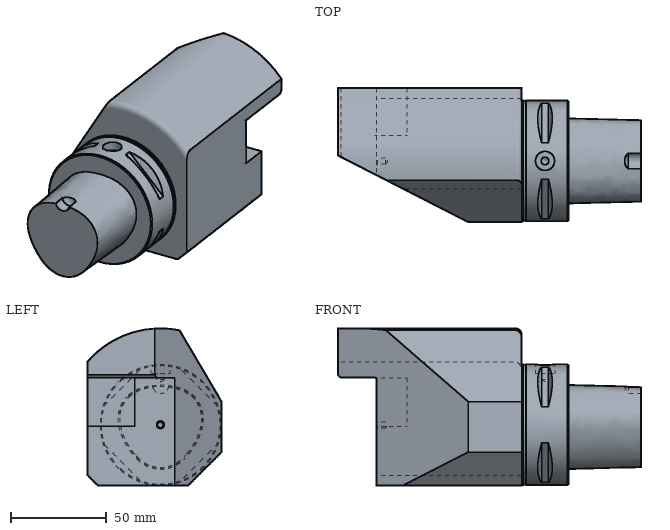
import cadquery as cq
import math


total_length = 158.0
body_end = 95.7
flange_end = 120.2
nose_reach = 20.0
slot_station = 107.9

crown_radius = 50.2
side_back = 38.0
side_front = -31.9
bottom = -31.8
crown_edge_y = -10.0
slant_foot_z = 12.0
front_chamfer_top_z = -14.2
back_chamfer = 5.5
crown_fillet = 3.3
margin = 7.9

nose_underside = 24.5
nose_chamfer = 1.5
nose_inner_radius = 1.0
oblique_start_y = 2.8
oblique_end_x = 68.0

notch_side = 13.5
notch_floor = -0.8
notch_depth = 15.8

flange_radius = 63.0 / 2
groove_radius = 62.5 / 2
groove_start = 96.5
groove_end = 97.8
flange_chamfer = 0.6
groove_chamfer = flange_radius - groove_radius

slot_floor_distance = 28.0
slot_floor_width = 3.5
slot_wall_angle = 30.0
slot_count = 4
slot_first_angle = 45.0

drill_point_angle = 118.0
plug_bore_diameter = 10.0
plug_bore_depth = 4.7
plug_hole_diameter = 4.0
plug_hole_depth = 3.2
face_hole_diameter = 3.2
face_hole_mouth = 4.0
face_hole_depth = 4.7

shank_base_radius = 22.0
shank_end_radius = 21.0
shank_lobe_height = 1.18
lobe_count = 3
lobe_points = 36
keyway_diameter = 8.4
keyway_axis_z = 20.5
keyway_length = 6.6
keyway_dome_height = 2.0


def revolve_about_x(profile):
    """Revolve an (axial, radial) outline about the spindle axis."""
    return cq.Workplane("XY").polyline(profile).close().revolve(360, (0, 0, 0), (1, 0, 0))


def drill(start, direction, diameter, depth):
    """Blind drilled hole with a conical point beyond its full-diameter depth."""
    radius = diameter / 2
    point_length = radius / math.tan(math.radians(drill_point_angle / 2))
    profile = [(0, 0), (radius, 0), (radius, depth), (0, depth + point_length)]
    tool = cq.Workplane("XY").polyline(profile).close().revolve(360, (0, 0, 0), (0, 1, 0))
    frame = cq.Plane(origin=start, xDir=(0, 1, 0), normal=direction)
    return cq.Workplane(obj=tool.rotate((0, 0, 0), (1, 0, 0), 90).val().moved(cq.Location(frame)))


def head():
    def crown_z(y):
        return math.sqrt(crown_radius**2 - y**2)

    front_chamfer_y = side_front + front_chamfer_top_z - bottom
    block = (
        cq.Workplane("YZ")
        .moveTo(side_back, crown_z(side_back))
        .threePointArc((0, crown_radius), (crown_edge_y, crown_z(crown_edge_y)))
        .lineTo(side_front, slant_foot_z)
        .lineTo(side_front, front_chamfer_top_z)
        .lineTo(front_chamfer_y, bottom)
        .lineTo(side_back - back_chamfer, bottom)
        .lineTo(side_back, bottom + back_chamfer)
        .close()
        .extrude(body_end)
    )
    envelope = (
        cq.Workplane("XY")
        .moveTo(-margin, 0)
        .lineTo(-margin, crown_radius)
        .lineTo(body_end - crown_fillet, crown_radius)
        .radiusArc((body_end, crown_radius - crown_fillet), crown_fillet)
        .lineTo(body_end, 0)
        .close()
        .revolve(360, (0, 0, 0), (1, 0, 0))
    )
    side_outline = (
        cq.Workplane("XZ")
        .moveTo(0, crown_radius + margin)
        .lineTo(0, nose_underside + nose_chamfer)
        .lineTo(nose_chamfer, nose_underside)
        .lineTo(nose_reach - nose_inner_radius, nose_underside)
        .radiusArc((nose_reach, nose_underside - nose_inner_radius), nose_inner_radius)
        .lineTo(nose_reach, bottom - margin)
        .lineTo(body_end, bottom - margin)
        .lineTo(body_end, crown_radius + margin)
        .close()
        .extrude(2 * crown_radius, both=True)
    )
    plan_outline = (
        cq.Workplane("XY")
        .polyline([
            (0, side_back),
            (0, oblique_start_y),
            (oblique_end_x, side_front),
            (body_end, side_front),
            (body_end, side_back),
        ])
        .close()
        .extrude(2 * crown_radius, both=True)
    )
    notch = cq.Workplane("XY").box(
        notch_depth + nose_reach, side_back - notch_side, nose_underside - notch_floor, centered=False
    ).translate((0, notch_side, notch_floor))
    return block.intersect(envelope).intersect(side_outline).intersect(plan_outline).cut(notch)


def flange():
    return revolve_about_x([
        (body_end, 0),
        (body_end, flange_radius),
        (groove_start, flange_radius),
        (groove_start, groove_radius),
        (groove_end, groove_radius),
        (groove_end + groove_chamfer, flange_radius),
        (flange_end - flange_chamfer, flange_radius),
        (flange_end, flange_radius - flange_chamfer),
        (flange_end, 0),
    ])


def gripper_slots():
    half_floor = slot_floor_width / 2
    height = flange_radius + margin - slot_floor_distance
    half_mouth = half_floor + height * math.tan(math.radians(slot_wall_angle))
    slot = (
        cq.Workplane("XZ")
        .polyline([
            (slot_station - half_floor, slot_floor_distance),
            (slot_station + half_floor, slot_floor_distance),
            (slot_station + half_mouth, slot_floor_distance + height),
            (slot_station - half_mouth, slot_floor_distance + height),
        ])
        .close()
        .extrude(flange_radius, both=True)
    )
    slots = cq.Workplane("XY")
    for index in range(slot_count):
        angle = slot_first_angle + index * 360 / slot_count
        slots = slots.add(slot.rotate((0, 0, 0), (1, 0, 0), angle))
    return slots.combine()


def shank():
    def lobed_outline(mean_radius):
        """Closed outline points with one lobe pointing to -Z."""
        points = []
        for index in range(lobe_points):
            angle = 2 * math.pi * index / lobe_points
            radius = mean_radius + shank_lobe_height * math.cos(lobe_count * (angle + math.pi / 2))
            points.append((radius * math.cos(angle), radius * math.sin(angle)))
        return points

    taper = (
        cq.Workplane("YZ", origin=(flange_end, 0, 0))
        .spline(lobed_outline(shank_base_radius), periodic=True)
        .close()
        .workplane(offset=total_length - flange_end)
        .spline(lobed_outline(shank_end_radius), periodic=True)
        .close()
        .loft(combine=True)
    )
    keyway_start = total_length - keyway_length
    keyway_radius = keyway_diameter / 2
    dome_radius = (keyway_radius**2 + keyway_dome_height**2) / (2 * keyway_dome_height)
    keyway = (
        cq.Workplane("XY")
        .moveTo(total_length, 0)
        .lineTo(total_length, keyway_radius)
        .lineTo(keyway_start, keyway_radius)
        .radiusArc((keyway_start - keyway_dome_height, 0), -dome_radius)
        .close()
        .revolve(360, (0, 0, 0), (1, 0, 0))
        .translate((0, 0, keyway_axis_z))
    )
    return taper.cut(keyway)


def plug_hole():
    bore_floor = flange_radius - plug_bore_depth
    bore = (
        cq.Workplane("XY", origin=(slot_station, 0, bore_floor))
        .circle(plug_bore_diameter / 2)
        .extrude(plug_bore_depth + margin)
    )
    hole = drill((slot_station, 0, bore_floor), (0, 0, -1), plug_hole_diameter, plug_hole_depth)
    return bore.union(hole)


def face_hole():
    """Countersunk hole on the spindle axis in the face below the nose."""
    countersink_depth = (face_hole_mouth - face_hole_diameter) / 2
    countersink = revolve_about_x([
        (nose_reach, 0),
        (nose_reach, face_hole_mouth / 2),
        (nose_reach + countersink_depth, face_hole_diameter / 2),
        (nose_reach + countersink_depth, 0),
    ])
    return drill((nose_reach, 0, 0), (1, 0, 0), face_hole_diameter, face_hole_depth).union(countersink)


flange_with_slots = flange().cut(gripper_slots()).cut(plug_hole())
result = head().cut(face_hole()).union(flange_with_slots).union(shank())